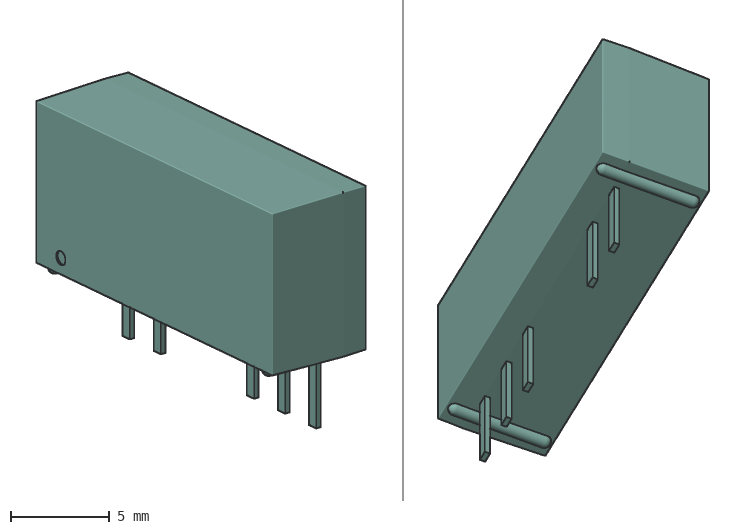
import cadquery as cq
import math

CASE_LENGTH = 19.5
CASE_DEPTH = 6.0
CASE_HEIGHT = 9.0
BACK_DEPTH = 1.5
DRAFT_ANGLE = 1.0
EDGE_RADIUS = 0.05

PIN_PITCH = 2.54
PIN_POSITIONS = (-3, -2, 1, 2, 3)
PIN_WIDTH = 0.6
PIN_THICKNESS = 0.3
PIN_LENGTH = 4.4
PIN_EMBEDMENT = 1.0

RIB_RADIUS = 0.35
RIB_PROJECTION = 0.32
RIB_STRAIGHT_LENGTH = 5.0
RIB_END_INSET = 1.0

MARK_DIAMETER = 0.75
MARK_DEPTH = 0.1
MARK_HEIGHT = 1.0

FRONT_Y = -CASE_DEPTH / 2
BACK_Y = CASE_DEPTH / 2
PARTING_Y = BACK_Y - BACK_DEPTH
FRONT_DEPTH = CASE_DEPTH - BACK_DEPTH


def case_half(depth, direction):
    """Drafted, round-edged half of the case, from the parting plane along direction * Y."""
    inset = depth * math.tan(math.radians(DRAFT_ANGLE))
    plane = cq.Plane(origin=(0, PARTING_Y, CASE_HEIGHT / 2), xDir=(1, 0, 0), normal=(0, direction, 0))
    half = (
        cq.Workplane(plane)
        .rect(CASE_LENGTH, CASE_HEIGHT)
        .workplane(offset=depth)
        .rect(CASE_LENGTH - 2 * inset, CASE_HEIGHT - 2 * inset)
        .loft(ruled=True)
    )
    parting_edges = "<Y" if direction > 0 else ">Y"
    return half.edges(f"not {parting_edges}").fillet(EDGE_RADIUS)


def make_case():
    return case_half(FRONT_DEPTH, -1).union(case_half(BACK_DEPTH, 1))


def make_pin(x):
    """Rectangular pin whose back face lies on the parting plane."""
    height = PIN_LENGTH + PIN_EMBEDMENT
    pin = cq.Workplane("XY").box(PIN_WIDTH, PIN_THICKNESS, height, centered=(True, False, False))
    return pin.translate((x, PARTING_Y - PIN_THICKNESS, -PIN_LENGTH))


def make_rib(x):
    """Cylinder along Y with ball ends, partly sunk into the case."""
    rib = cq.Workplane("XZ").circle(RIB_RADIUS).extrude(RIB_STRAIGHT_LENGTH / 2, both=True)
    for end_y in (-RIB_STRAIGHT_LENGTH / 2, RIB_STRAIGHT_LENGTH / 2):
        rib = rib.union(cq.Workplane("XY").sphere(RIB_RADIUS).translate((0, end_y, 0)))
    return rib.translate((x, 0, RIB_RADIUS - RIB_PROJECTION))


def make_pin_1_mark():
    mark = cq.Workplane("XZ").circle(MARK_DIAMETER / 2).extrude(MARK_DEPTH)
    return mark.translate((PIN_POSITIONS[0] * PIN_PITCH, FRONT_Y + MARK_DEPTH, MARK_HEIGHT))


result = make_case()

rib_x = CASE_LENGTH / 2 - RIB_END_INSET
for x in (-rib_x, rib_x):
    result = result.union(make_rib(x))

for position in PIN_POSITIONS:
    result = result.union(make_pin(position * PIN_PITCH))

result = result.cut(make_pin_1_mark())